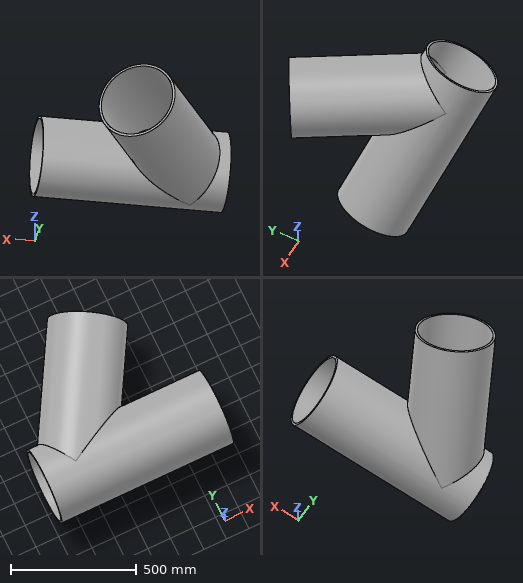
import cadquery as cq
import math

outer_diameter = 323.85
bore_diameter = 303.23
run_length = 762.0
branch_length = 622.3
branch_angle = 60.0
upstream_length = 139.7
bore_overrun = 10.0

run_direction = cq.Vector(1, 0, 0)
crossing = cq.Vector(0, 0, 0)
branch_direction = cq.Vector(
    math.cos(math.radians(branch_angle)),
    math.sin(math.radians(branch_angle)),
    0,
)


def cylinder(diameter, length, start, direction):
    """Solid cylinder from a start point along a direction."""
    return cq.Workplane(cq.Solid.makeCylinder(diameter / 2, length, start, direction))


def joined_cylinders(diameter, overrun=0.0):
    """Run and branch cylinders of one diameter, extended past each pipe end by the overrun."""
    run_start = crossing - run_direction * (upstream_length + overrun)
    run = cylinder(diameter, run_length + 2 * overrun, run_start, run_direction)
    branch = cylinder(diameter, branch_length + overrun, crossing, branch_direction)
    return run.union(branch)


outer_body = joined_cylinders(outer_diameter)
bores = joined_cylinders(bore_diameter, bore_overrun)
result = outer_body.cut(bores)